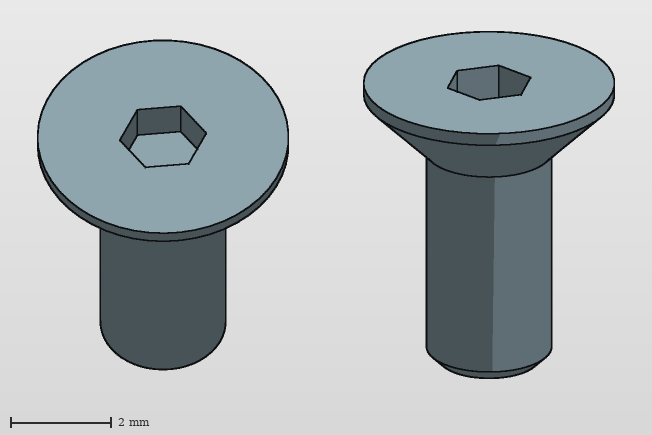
import cadquery as cq
import math

total_length = 6.0
head_diameter = 5.0
shank_diameter = 2.5
rim_height = 0.25
tip_chamfer = 0.25
socket_across_flats = 1.5
socket_depth = 0.79

head_radius = head_diameter / 2
shank_radius = shank_diameter / 2
cone_height = head_radius - shank_radius
rim_bottom = total_length - rim_height
cone_bottom = rim_bottom - cone_height


def screw_body():
    """Revolve the half profile of the head, shank and chamfered tip."""
    return (
        cq.Workplane("XZ")
        .moveTo(0, 0)
        .lineTo(shank_radius - tip_chamfer, 0)
        .lineTo(shank_radius, tip_chamfer)
        .lineTo(shank_radius, cone_bottom)
        .lineTo(head_radius, rim_bottom)
        .lineTo(head_radius, total_length)
        .lineTo(0, total_length)
        .close()
        .revolve(360, (0, 0), (0, 1))
    )


def hex_socket():
    """Hexagonal prism with two corners on the X axis, sunk from the head face."""
    across_corners = socket_across_flats / math.cos(math.pi / 6)
    return (
        cq.Workplane("XY")
        .workplane(offset=total_length)
        .polygon(6, across_corners)
        .extrude(-socket_depth)
    )


result = screw_body().cut(hex_socket())